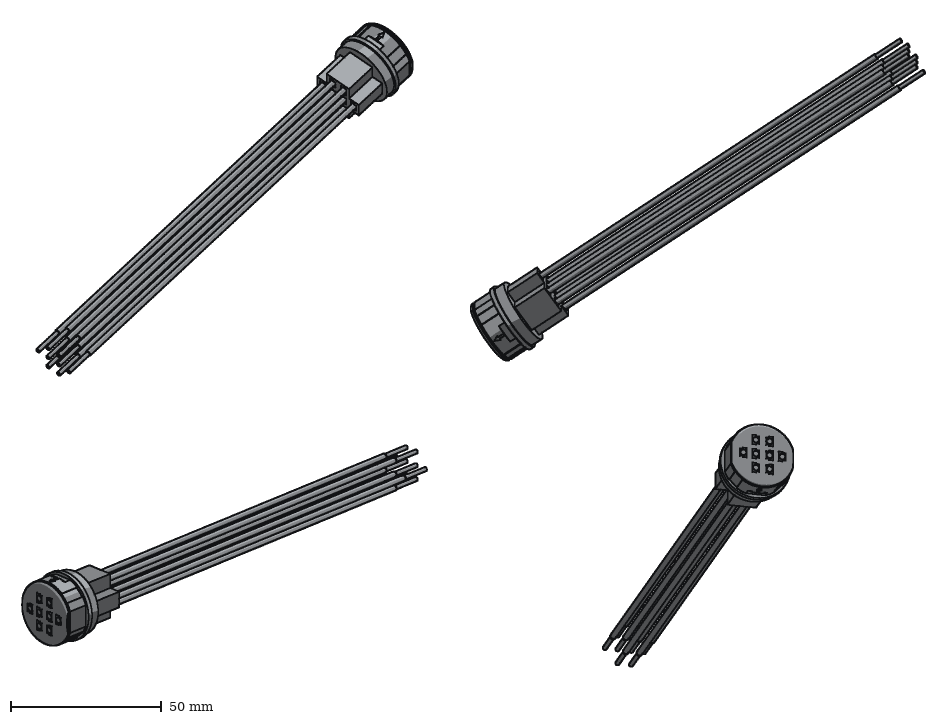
import cadquery as cq

flange_start = 8.9
flange_thickness = 1.6
flange_end = flange_start + flange_thickness
collar_end = 14.1
block_end = 26.0
wire_end = 171.2
stripped_length = 10.0

shell_diameter = 22.5
flange_diameter = 24.0
face_diameter = 20.0
rim_radius = (shell_diameter - face_diameter) / 2
rim_groove_start = 1.1
rim_groove_width = 0.6
rim_groove_depth = 0.2
grip_start = rim_groove_start + rim_groove_width

side_flat_offset = 10.56
grip_depth = 0.3
grip_width = 3.65
grip_angles = (45, 135, 225, 315)
notch_length = 2.4
notch_offset = 10.75
arrow_tip = 2.3
arrow_head_length = 2.0
arrow_head_width = 1.8
arrow_stem_width = 0.8
arrow_depth = 0.2

block_width = 18.2
block_height = 16.0
block_core_width = 9.8
block_arm_height = 5.7

wire_diameter = 2.0
conductor_diameter = 1.5
inner_wire_x = 2.35
outer_wire_x = 6.7
wire_row_pitch = 5.0
slot_width = 2.4
slot_height = 2.7
slot_tall_width = 1.35
slot_tall_height = 3.4

SIDES = (-1, 1)

wire_places = [(side * inner_wire_x, row * wire_row_pitch, side) for side in SIDES for row in (-1, 0, 1)]
wire_places += [(side * outer_wire_x, 0, -side) for side in SIDES]


def disc(diameter, start, end):
    """Round bar along the connector axis, from depth start to depth end."""
    return cq.Workplane("XZ", origin=(0, -start, 0)).circle(diameter / 2).extrude(end - start)


def bar(width, height, start, end, x=0.0, z=0.0):
    """Rectangular bar along the connector axis, centred on x and z."""
    return cq.Workplane("XZ", origin=(x, -start, z)).rect(width, height).extrude(end - start)


def skin(depth, start, end):
    """Outer layer of the shell, as thick as depth."""
    return disc(flange_diameter, start, end).cut(disc(shell_diameter - 2 * depth, start, end))


def shell():
    """Round shell with a rounded front rim, two side flats and a flange."""
    front = disc(shell_diameter, 0, flange_start).faces(">Y").edges().fillet(rim_radius)
    front = front.intersect(bar(2 * side_flat_offset, flange_diameter, 0, flange_start))
    flange = disc(flange_diameter, flange_start, flange_end)
    collar = disc(shell_diameter, flange_end, collar_end)
    return front.union(flange).union(collar)


def rim_groove():
    """Shallow groove behind the rim that follows the round sides and the flats."""
    end = rim_groove_start + rim_groove_width
    core = disc(shell_diameter - 2 * rim_groove_depth, rim_groove_start, end)
    core = core.intersect(
        bar(2 * (side_flat_offset - rim_groove_depth), flange_diameter, rim_groove_start, end)
    )
    return disc(flange_diameter, rim_groove_start, end).cut(core)


def grip_recess(angle):
    """Shallow recess along the shell, in the direction given by angle from +X towards +Z."""
    window = bar(flange_diameter / 2, grip_width, grip_start, flange_start, x=flange_diameter / 4)
    window = window.rotate((0, 0, 0), (0, 1, 0), -angle)
    return skin(grip_depth, grip_start, flange_start).intersect(window)


def notch(z_side):
    """Flat cut into the top or bottom of the shell, next to the flange."""
    height = flange_diameter / 2 - notch_offset
    z = z_side * (notch_offset + height / 2)
    return bar(flange_diameter, height, flange_start - notch_length, flange_start, z=z)


def arrow_mark(z_side):
    """Shallow arrow that points from the notch to the mating face."""
    head_base = arrow_tip + arrow_head_length
    stem_end = flange_start - notch_length
    half_head = arrow_head_width / 2
    half_stem = arrow_stem_width / 2
    arrow = (
        cq.Workplane("XY")
        .moveTo(0, -arrow_tip)
        .lineTo(half_head, -head_base)
        .lineTo(half_stem, -head_base)
        .lineTo(half_stem, -stem_end)
        .lineTo(-half_stem, -stem_end)
        .lineTo(-half_stem, -head_base)
        .lineTo(-half_head, -head_base)
        .close()
        .extrude(z_side * flange_diameter / 2)
    )
    return skin(arrow_depth, arrow_tip, stem_end).intersect(arrow)


def wire_slot(x, z, tall_side):
    """Slot through the whole housing, taller on one side of its wire."""
    tall_x = x + tall_side * (slot_width - slot_tall_width) / 2
    low_part = bar(slot_width, slot_height, 0, block_end, x, z)
    tall_part = bar(slot_tall_width, slot_tall_height, 0, block_end, tall_x, z)
    return low_part.union(tall_part)


def make_housing():
    body = shell().cut(rim_groove())
    for z_side in SIDES:
        body = body.cut(notch(z_side)).cut(arrow_mark(z_side))
    for angle in grip_angles:
        body = body.cut(grip_recess(angle))
    body = body.union(bar(block_core_width, block_height, collar_end, block_end))
    body = body.union(bar(block_width, block_arm_height, collar_end, block_end))
    for x, z, tall_side in wire_places:
        body = body.cut(wire_slot(x, z, tall_side))
    return body


def make_wire(x, z):
    """Insulated wire with a stripped end."""
    strip_start = wire_end - stripped_length
    insulated = disc(wire_diameter, 0, strip_start)
    conductor = disc(conductor_diameter, strip_start, wire_end)
    return insulated.union(conductor).translate((x, 0, z))


housing = make_housing()
wires = [make_wire(x, z) for x, z, _ in wire_places]

result = cq.Compound.makeCompound([housing.val(), *[wire.val() for wire in wires]])